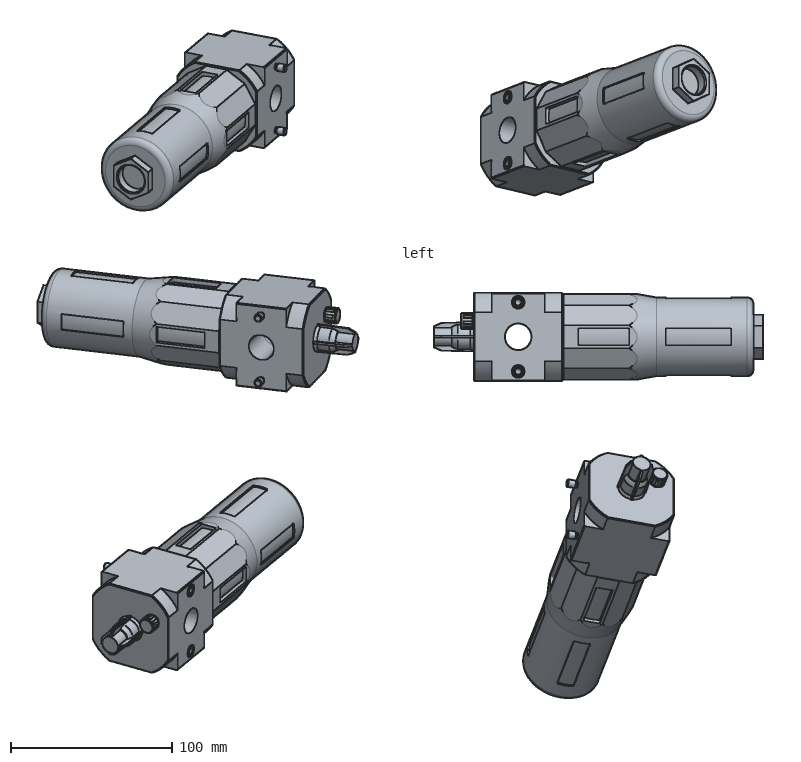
import cadquery as cq
import math


head_width = 55.0
head_length = 55.2
head_chamfer = 0.6
corner_diameter = 63.0
corner_length = 11.2
port_diameter = 16.3

neck_diameter = 51.0
bowl_start = -28.2
bowl_end = -146.0
bowl_diameter = 49.0
bowl_flats = 53.3
bowl_flat_count = 12
bowl_end_fillet = 4.0
flare_top_diameter = 56.0
flare_start = -67.0
flare_end = -85.8
flare_dip = 0.1
window_count = 4
window_width = 10.5
window_corner_radius = 0.6
upper_window_start = -37.4
upper_window_end = -69.0
upper_floor_diameter = 48.6
lower_window_start = -91.5
lower_window_end = -132.2
lower_floor_diameter = 46.8

nut_end = -152.0
nut_flats = 24.0
nut_bore_diameter = 18.0
nut_bore_chamfer = 0.8
nut_bore_depth = 7.0

dome_height = 24.7
dome_foot_diameter = 17.2
dome_foot_height = 2.2
dome_diameter = 15.3
dome_shoulder_start = 10.0
dome_shoulder_end = 13.7
dome_shoulder_diameter = 12.3
dome_shoulder_bulge = 0.2
dome_tip_diameter = 11.2
fin_thickness = 1.5
fin_foot_width = 18.2
fin_width = 17.4
fin_tip_width = 13.0
fin_tip_height = 4.7

knob_x = -16.1
knob_z = 9.8
knob_diameter = 10.0
knob_height = 8.0
knob_chamfer = 0.6
knob_neck_diameter = 9.0
knob_neck_height = 0.8
flute_count = 8
flute_width = 1.8
flute_depth = 0.5
flute_start = 1.0
flute_end = 6.1
flute_angle = 12.0

screw_z = 21.5
screw_head_diameter = 7.0
screw_head_height = 4.0
screw_head_chamfer = 0.6
screw_recess_diameter = 8.0
socket_diameter = 3.9
socket_depth = 2.0
socket_tip_angle = 118.0
shank_diameter = 3.9
tip_diameter = 5.0
tip_length = 5.7
tip_chamfer = 0.6
tip_gap = 1.0

half_head = head_width / 2
head_front = -head_length / 2
head_back = head_length / 2


def y_section(y):
    """Sketch plane across the main axis at the given Y; its normal points to -Y."""
    return cq.Workplane("XZ", origin=(0, y, 0))


def disc(diameter, y_from, y_to):
    """Cylinder on the main axis from y_from down to y_to."""
    return y_section(y_from).circle(diameter / 2).extrude(y_from - y_to)


def make_head():
    """Square block whose long edges are rounded to one cylinder near both ends."""
    block = cq.Workplane("XY").box(head_width, head_length, head_width).edges().chamfer(head_chamfer)
    round_ends = disc(corner_diameter, head_back, head_front).faces("<Y or >Y").chamfer(head_chamfer)
    middle_length = head_length - 2 * corner_length
    middle = cq.Workplane("XY").box(head_width, middle_length, head_width)
    return block.intersect(round_ends.union(middle))


def make_bowl():
    """Twelve-sided grip on a short neck, narrowing through a flare to a round cup."""
    cup_radius = bowl_diameter / 2
    grip_radius = bowl_flats / 2 / math.cos(math.pi / bowl_flat_count)
    flare_radius = flare_top_diameter / 2
    flare_middle = ((flare_radius + cup_radius) / 2 - flare_dip, (flare_start + flare_end) / 2)
    fillet_offset = bowl_end_fillet * (1 - math.sqrt(0.5))
    round_shape = (
        cq.Workplane("XY")
        .moveTo(0, bowl_start)
        .lineTo(flare_radius, bowl_start)
        .lineTo(flare_radius, flare_start)
        .threePointArc(flare_middle, (cup_radius, flare_end))
        .lineTo(cup_radius, bowl_end + bowl_end_fillet)
        .threePointArc(
            (cup_radius - fillet_offset, bowl_end + fillet_offset),
            (cup_radius - bowl_end_fillet, bowl_end),
        )
        .lineTo(0, bowl_end)
        .close()
        .revolve(360, (0, 0, 0), (0, 1, 0))
    )
    flats = (
        y_section(bowl_start)
        .transformed(rotate=(0, 0, 180 / bowl_flat_count))
        .polygon(bowl_flat_count, 2 * grip_radius)
        .extrude(bowl_start - bowl_end)
    )
    return round_shape.intersect(flats).union(disc(neck_diameter, head_front, bowl_start))


def make_window_cutter(y_from, y_to, floor_diameter):
    """Four radial pockets that all end on one cylindrical floor."""
    core = disc(floor_diameter, y_from, y_to)
    pocket = (
        cq.Workplane("XY")
        .center(0, (y_from + y_to) / 2)
        .rect(window_width, y_from - y_to)
        .extrude(bowl_flats)
        .edges("|Z")
        .fillet(window_corner_radius)
        .cut(core)
    )
    cutter = cq.Workplane("XY")
    for index in range(window_count):
        cutter = cutter.add(pocket.rotate((0, 0, 0), (0, 1, 0), index * 360 / window_count))
    return cutter.combine()


def make_nut():
    """Hexagon at the end of the bowl with two corners on the Z axis."""
    return (
        y_section(bowl_end)
        .transformed(rotate=(0, 0, 90))
        .polygon(6, nut_flats / math.cos(math.pi / 6))
        .extrude(bowl_end - nut_end)
    )


def make_nut_bore():
    """Blind bore in the nut with a chamfered mouth."""
    radius = nut_bore_diameter / 2
    return (
        cq.Workplane("XY")
        .moveTo(0, nut_end)
        .lineTo(radius + nut_bore_chamfer, nut_end)
        .lineTo(radius, nut_end + nut_bore_chamfer)
        .lineTo(radius, nut_end + nut_bore_depth)
        .lineTo(0, nut_end + nut_bore_depth)
        .close()
        .revolve(360, (0, 0, 0), (0, 1, 0))
    )


def make_dome():
    """Stepped round dome standing on the back of the head."""
    shoulder_middle = (
        dome_shoulder_diameter / 4 + dome_diameter / 4 + dome_shoulder_bulge,
        (dome_shoulder_start + dome_shoulder_end) / 2,
    )
    return (
        cq.Workplane("XY", origin=(0, head_back, 0))
        .lineTo(dome_foot_diameter / 2, 0)
        .lineTo(dome_diameter / 2, dome_foot_height)
        .lineTo(dome_diameter / 2, dome_shoulder_start)
        .threePointArc(shoulder_middle, (dome_shoulder_diameter / 2, dome_shoulder_end))
        .lineTo(dome_tip_diameter / 2, dome_shoulder_end)
        .lineTo(dome_tip_diameter / 2, dome_height)
        .lineTo(0, dome_height)
        .close()
        .revolve(360, (0, 0, 0), (0, 1, 0))
    )


def make_fins():
    """Two crossed plates through the dome, each with a tapered tip."""
    plate = (
        cq.Workplane("XY", origin=(0, head_back, -fin_thickness / 2))
        .moveTo(-fin_foot_width / 2, 0)
        .lineTo(fin_foot_width / 2, 0)
        .lineTo(fin_width / 2, dome_height - fin_tip_height)
        .lineTo(fin_tip_width / 2, dome_height)
        .lineTo(-fin_tip_width / 2, dome_height)
        .lineTo(-fin_width / 2, dome_height - fin_tip_height)
        .close()
        .extrude(fin_thickness)
    )
    return plate.union(plate.rotate((0, 0, 0), (0, 1, 0), 90))


def make_knob():
    """Small fluted knob on the back of the head, on a slightly narrower neck."""
    knob_end = head_back + knob_height
    grip = disc(knob_diameter, knob_end, head_back + knob_neck_height)
    grip = grip.faces(">Y").chamfer(knob_chamfer)
    neck = disc(knob_neck_diameter, head_back + knob_neck_height, head_back)
    knob = grip.union(neck)
    flute = cq.Workplane("XY").box(2 * flute_depth, flute_end - flute_start, flute_width)
    flute = flute.translate((knob_diameter / 2, head_back + (flute_start + flute_end) / 2, 0))
    for index in range(flute_count):
        angle = -flute_angle - index * 360 / flute_count
        knob = knob.cut(flute.rotate((0, 0, 0), (0, 1, 0), angle))
    return knob.translate((knob_x, 0, knob_z))


def make_screw_hole(z):
    """Through hole along X with a recess for the screw head."""
    start = cq.Workplane("YZ", origin=(-half_head, 0, z))
    hole = start.circle(shank_diameter / 2).extrude(head_width)
    return hole.union(start.circle(screw_recess_diameter / 2).extrude(screw_head_height))


def make_housing():
    housing = make_head().union(make_bowl()).union(make_nut())
    housing = housing.union(make_dome()).union(make_fins()).union(make_knob())
    housing = housing.cut(cq.Workplane("YZ").circle(port_diameter / 2).extrude(half_head, both=True))
    housing = housing.cut(make_window_cutter(upper_window_start, upper_window_end, upper_floor_diameter))
    housing = housing.cut(make_window_cutter(lower_window_start, lower_window_end, lower_floor_diameter))
    housing = housing.cut(make_nut_bore())
    for z in (-screw_z, screw_z):
        housing = housing.cut(make_screw_hole(z))
    return housing


def make_screw(z):
    """Screw along X: socket head flush with the head, tip standing out on the far side."""
    head_radius = screw_head_diameter / 2
    socket_radius = socket_diameter / 2
    shank_radius = shank_diameter / 2
    tip_radius = tip_diameter / 2
    socket_tip = socket_radius / math.tan(math.radians(socket_tip_angle / 2))
    tip_start = head_width + tip_gap
    tip_end = tip_start + tip_length
    return (
        cq.Workplane("XY", origin=(-half_head, 0, z))
        .moveTo(socket_depth + socket_tip, 0)
        .lineTo(socket_depth, socket_radius)
        .lineTo(0, socket_radius)
        .lineTo(0, head_radius - screw_head_chamfer)
        .lineTo(screw_head_chamfer, head_radius)
        .lineTo(screw_head_height, head_radius)
        .lineTo(screw_head_height, shank_radius)
        .lineTo(tip_start, shank_radius)
        .lineTo(tip_start, tip_radius - tip_chamfer)
        .lineTo(tip_start + tip_chamfer, tip_radius)
        .lineTo(tip_end - tip_chamfer, tip_radius)
        .lineTo(tip_end, tip_radius - tip_chamfer)
        .lineTo(tip_end, 0)
        .close()
        .revolve(360, (0, 0, 0), (1, 0, 0))
    )


housing = make_housing()
screws = [make_screw(z).val() for z in (-screw_z, screw_z)]
result = cq.Compound.makeCompound([housing.val(), *screws])